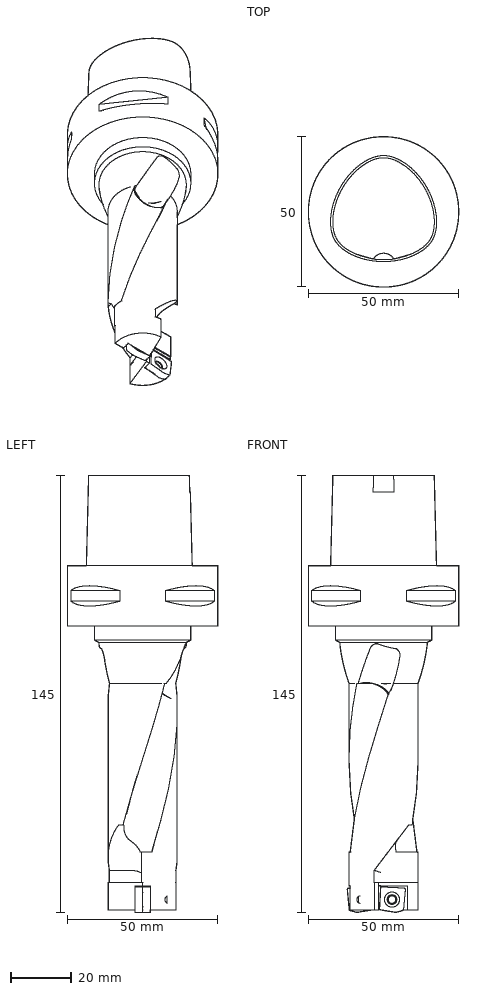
import cadquery as cq
import math


shank_length = 30.0
shank_base_radius = 17.6
shank_taper = 1 / 40
lobe_amount = 1.1
lobe_seam_angle = 24.0
lobe_curve_steps = 8
key_slot_radius = 4.0
key_slot_depth = 5.5
key_slot_axis_y = -17.7

flange_diameter = 50.0
flange_thickness = 20.0
groove_floor_distance = 22.2
groove_floor_width = 3.5
groove_flank_angle = 30.0

collar_diameter = 32.0
collar_end_z = -24.7
neck_diameter = 29.0
neck_end_z = -26.3
neck_curve_mid = (13.4, -32.6)
body_top_z = -39.0
body_diameter = 23.0
body_end_z = -114.2
body_radius = body_diameter / 2
neck_radius = neck_diameter / 2
collar_radius = collar_diameter / 2

flute_radius = 6.1
flute_axis_distance = 10.3
flute_rate = 1.58
flute_bottom_z = -95.0
flute_bottom_angle = 163.0
flute_length = body_top_z - flute_bottom_z
runout_radius = 5.6
runout_length = 16.6
runout_end_radius = 2.0
runout_side_slope = math.tan(math.radians(18))
runout_outward_angle = math.radians(30)

pocket_reach = 20.0
pocket_top_z = -105.0
central_pocket_wall = (-1.6, -3.1)
peripheral_pocket_wall = (1.6, -1.0)
gullet_wall_x = -3.1
gullet_floor_y = -0.3
gullet_floor_radius = 4.0
gullet_corner_z = -101.0
gullet_top = (8.3, -86.0)

insert_outline = [(-1.0, -106.5), (7.3, -106.9), (6.6, -114.3), (4.1, -115.0), (-1.4, -114.1)]
insert_corner_radius = 0.5
insert_thickness = 2.6
peripheral_shift = -4.8
recess_right_x = 8.0
recess_left_x = -2.0
recess_top_z = -106.2
recess_bottom_z = -116.0
screw_x = 2.8
screw_z = -110.7
screw_mouth_diameter = 5.0
screw_head_diameter = 4.4
screw_shank_diameter = 3.2
screw_mouth_depth = 0.3
screw_sink_depth = 1.2
socket_depth = 2.0
thread_diameter = 2.5
thread_end_y = 8.0


def lobe_point(angle, mean_radius):
    """Point of the constant-width three-lobed curve whose normal has this angle (degrees)."""
    t = math.radians(angle)
    phase = 3 * (t - math.pi / 2)
    support = mean_radius + lobe_amount * math.cos(phase)
    slide = -3 * lobe_amount * math.sin(phase)
    x = support * math.cos(t) - slide * math.sin(t)
    y = support * math.sin(t) + slide * math.cos(t)
    return x, y


def lobe_wire(mean_radius, z):
    seams = []
    for flat_middle in (30, 150, 270):
        seams += [flat_middle - lobe_seam_angle, flat_middle + lobe_seam_angle]
    edges = []
    for i, start in enumerate(seams):
        end = seams[i + 1] if i + 1 < len(seams) else seams[0] + 360
        angles = [start + (end - start) * k / lobe_curve_steps for k in range(lobe_curve_steps + 1)]
        points = [cq.Vector(*lobe_point(a, mean_radius), z) for a in angles]
        edges.append(cq.Edge.makeSpline(points))
    return cq.Wire.assembleEdges(edges)


def make_shank():
    top_radius = shank_base_radius - shank_taper * shank_length
    base = lobe_wire(shank_base_radius, 0)
    top = lobe_wire(top_radius, shank_length)
    shank = cq.Workplane(obj=cq.Solid.makeLoft([base, top], True))
    slot = (
        cq.Workplane("XY", origin=(0, key_slot_axis_y, shank_length - key_slot_depth))
        .circle(key_slot_radius)
        .extrude(key_slot_depth)
    )
    return shank.cut(slot)


def make_turned_body():
    collar_chamfer = collar_radius - neck_radius
    return (
        cq.Workplane("XZ")
        .moveTo(0, 0)
        .lineTo(flange_diameter / 2, 0)
        .lineTo(flange_diameter / 2, -flange_thickness)
        .lineTo(collar_radius, -flange_thickness)
        .lineTo(collar_radius, collar_end_z)
        .lineTo(neck_radius, collar_end_z - collar_chamfer / 2)
        .lineTo(neck_radius, neck_end_z)
        .threePointArc(neck_curve_mid, (body_radius, body_top_z))
        .lineTo(body_radius, body_end_z)
        .lineTo(0, body_end_z)
        .close()
        .revolve(360, (0, 0, 0), (0, 1, 0))
    )


def make_groove(angle):
    rim = flange_diameter / 2
    half_floor = groove_floor_width / 2
    half_mouth = half_floor + (rim - groove_floor_distance) * math.tan(math.radians(groove_flank_angle))
    return (
        cq.Workplane("XZ", origin=(0, 0, -flange_thickness / 2))
        .polyline(
            [
                (groove_floor_distance, -half_floor),
                (rim, -half_mouth),
                (rim, half_mouth),
                (groove_floor_distance, half_floor),
            ]
        )
        .close()
        .extrude(rim, both=True)
        .rotate((0, 0, 0), (0, 0, 1), angle)
    )


def make_flute():
    """Flute on the -X side: a helical channel with a straight round run-out at its top."""
    bottom_turn = math.radians(flute_bottom_angle)
    channel = (
        cq.Workplane("XY", origin=(0, 0, flute_bottom_z))
        .moveTo(flute_axis_distance * math.cos(bottom_turn), flute_axis_distance * math.sin(bottom_turn))
        .circle(flute_radius)
        .twistExtrude(flute_length, flute_rate * flute_length)
    )
    floor_distance = flute_axis_distance - flute_radius
    start_distance = floor_distance + runout_radius * math.cos(runout_outward_angle)
    start_z = body_top_z - runout_radius * math.sin(runout_outward_angle)
    start_turn = math.radians(flute_bottom_angle + flute_rate * (start_z - flute_bottom_z))
    start = cq.Vector(start_distance * math.cos(start_turn), start_distance * math.sin(start_turn), start_z)
    lean = cq.Vector(runout_side_slope, -math.tan(runout_outward_angle), 1)
    runout = cq.Solid.makeCylinder(runout_radius, runout_length, start, lean)
    runout = cq.Workplane(obj=runout).edges(">Z").fillet(runout_end_radius)
    return [channel, runout]


def make_tip_pocket(inner_wall_x, outer_wall_x):
    """Square pocket that clears the tip in front of an insert."""
    return (
        cq.Workplane("XY", origin=(0, 0, body_end_z))
        .polyline(
            [
                (inner_wall_x, 0),
                (pocket_reach, 0),
                (pocket_reach, -body_radius),
                (outer_wall_x, -body_radius),
            ]
        )
        .close()
        .extrude(pocket_top_z - body_end_z)
    )


def make_gullet():
    """Chip gullet above a tip pocket, with a sloping wall that blends into its flat floor."""
    top_z = gullet_top[1]
    return (
        cq.Workplane("XZ", origin=(0, gullet_floor_y, 0))
        .polyline(
            [
                (gullet_wall_x, pocket_top_z),
                (gullet_wall_x, gullet_corner_z),
                gullet_top,
                (pocket_reach, top_z),
                (pocket_reach, pocket_top_z),
            ]
        )
        .close()
        .extrude(pocket_reach)
        .faces(">Y")
        .edges("not(>X or <Z or >Z)")
        .fillet(gullet_floor_radius)
    )


def place_peripheral(body):
    return body.rotate((0, 0, 0), (0, 0, 1), 180).translate((peripheral_shift, 0, 0))


def make_insert_recess():
    """Seat for the central insert with its threaded screw hole."""
    width = recess_right_x - recess_left_x
    height = recess_top_z - recess_bottom_z
    corner = cq.Vector(recess_left_x, 0, recess_bottom_z)
    seat = cq.Workplane(obj=cq.Solid.makeBox(width, insert_thickness, height, corner))
    thread = (
        cq.Workplane("XZ", origin=(screw_x, thread_end_y, screw_z))
        .circle(thread_diameter / 2)
        .extrude(thread_end_y)
    )
    return seat.union(thread)


def make_insert():
    """Central insert: its rake face lies on Y = 0, its seat face at +Y."""
    blank = (
        cq.Workplane("XZ", origin=(0, insert_thickness, 0))
        .polyline(insert_outline)
        .close()
        .extrude(insert_thickness)
        .edges("|Y")
        .fillet(insert_corner_radius)
    )
    screw_hole = (
        cq.Workplane("XY")
        .lineTo(screw_mouth_diameter / 2, 0)
        .lineTo(screw_head_diameter / 2, screw_mouth_depth)
        .lineTo(screw_shank_diameter / 2, screw_sink_depth)
        .lineTo(thread_diameter / 2, screw_sink_depth)
        .lineTo(thread_diameter / 2, socket_depth)
        .lineTo(0, socket_depth)
        .close()
        .revolve(360, (0, 0, 0), (0, 1, 0))
        .translate((screw_x, 0, screw_z))
    )
    return blank.cut(screw_hole)


def make_holder():
    holder = make_turned_body()
    for quarter in range(4):
        holder = holder.cut(make_groove(45 + 90 * quarter))
    for turn in (0, 180):
        for cutter in make_flute() + [make_gullet()]:
            holder = holder.cut(cutter.rotate((0, 0, 0), (0, 0, 1), turn))
    holder = holder.cut(make_tip_pocket(*central_pocket_wall))
    holder = holder.cut(make_tip_pocket(*peripheral_pocket_wall).rotate((0, 0, 0), (0, 0, 1), 180))
    recess = make_insert_recess()
    holder = holder.cut(recess).cut(place_peripheral(recess))
    return holder.union(make_shank())


holder = make_holder()
central_insert = make_insert()
peripheral_insert = place_peripheral(make_insert())

result = cq.Compound.makeCompound([holder.val(), central_insert.val(), peripheral_insert.val()])